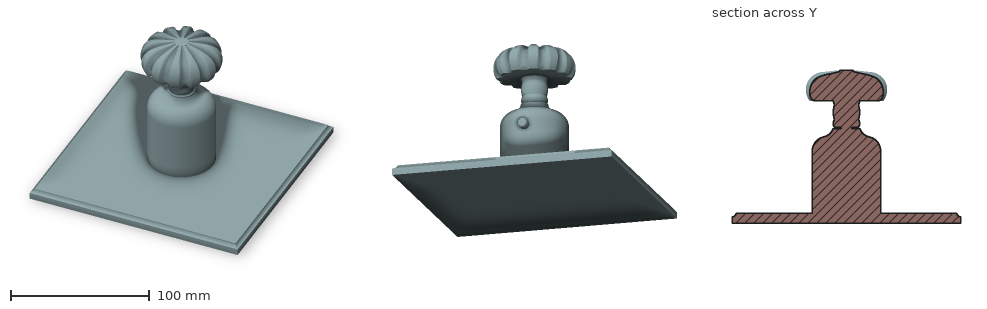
import cadquery as cq
import math

plate_side = 165.1
plate_height = 7.8
cove_radius = 2.8

body_radius = 25.0
dome_base_z = 52.0
dome_height = 10.5
flare_base_radius = 16.8
flare_height = 5.0
flare_sag = 1.0
collar_radius = 10.2
collar_height = 1.2

gap_height = 0.7
stem_radius = 4.1
neck_waist_radius = 8.9
neck_bulge_radius = 9.7
neck_bead_height = 5.6
neck_barrel_height = 10.4

knob_bottom_z = 88.5
knob_top_z = 110.6
knob_rim_radius = 29.7
knob_rim_z = 96.5
knob_arc_radius = 12.9
knob_flat_radius = 5.1
knob_shoulder_angle = 86.0
flute_count = 12
flute_edge_sink = 0.01211
flute_edge_lift = 0.2
flute_cover = 1.7

arc_flutes = [(-55.0, 4.3, 2.8), (0.0, 5.6, 3.1), (45.0, 5.0, 3.3)]
shoulder_flute = (4.0, 2.5)
crown_flute = (2.5, 1.7)
centre_flute = (1.0, 0.8)

pin_radius = 3.5
pin_z = 47.2
pin_tip_y = 31.7
pin_fillet = 1.3

flare_base_z = dome_base_z + dome_height
collar_base_z = flare_base_z + flare_height
collar_top_z = collar_base_z + collar_height
neck_base_z = collar_top_z + gap_height
bead_top_z = neck_base_z + neck_bead_height
barrel_top_z = bead_top_z + neck_barrel_height
knob_arc_x = knob_rim_radius - knob_arc_radius


def knob_point(angle):
    """Point (radius, z) on the round flank of the knob, at an angle in degrees above horizontal."""
    turn = math.radians(angle)
    return knob_arc_x + knob_arc_radius * math.cos(turn), knob_rim_z + knob_arc_radius * math.sin(turn)


def make_plate():
    plate = cq.Workplane("XY").box(plate_side, plate_side, plate_height, centered=(True, True, False))
    half_side = plate_side / 2
    bar_length = plate_side + 2 * cove_radius
    for turn in range(4):
        cove = (
            cq.Workplane("YZ", origin=(-bar_length / 2, 0, 0))
            .center(half_side, plate_height)
            .circle(cove_radius)
            .extrude(bar_length)
        )
        plate = plate.cut(cove.rotate((0, 0, 0), (0, 0, 1), 90 * turn))
    return plate


def make_body_and_neck():
    profile = (
        cq.Workplane("XZ")
        .lineTo(body_radius, 0)
        .lineTo(body_radius, dome_base_z)
        .tangentArcPoint((flare_base_radius, flare_base_z), relative=False)
        .sagittaArc((collar_radius, collar_base_z), flare_sag)
        .lineTo(collar_radius, collar_top_z)
        .lineTo(stem_radius, collar_top_z)
        .lineTo(stem_radius, neck_base_z)
        .lineTo(neck_waist_radius, neck_base_z)
        .threePointArc((neck_bulge_radius, (neck_base_z + bead_top_z) / 2), (neck_waist_radius, bead_top_z))
        .threePointArc((neck_bulge_radius, (bead_top_z + barrel_top_z) / 2), (neck_waist_radius, barrel_top_z))
        .lineTo(neck_bulge_radius, knob_bottom_z)
        .lineTo(0, knob_bottom_z)
        .close()
    )
    return profile.revolve(360, (0, 0, 0), (0, 1, 0))


def make_pin():
    pin = cq.Workplane("XZ", origin=(0, 0, pin_z)).circle(pin_radius).extrude(-pin_tip_y)
    return pin.faces(">Y").edges().fillet(pin_fillet)


def make_knob_blank():
    bottom_angle = math.degrees(math.asin((knob_bottom_z - knob_rim_z) / knob_arc_radius))
    profile = (
        cq.Workplane("XZ")
        .moveTo(0, knob_bottom_z)
        .lineTo(*knob_point(bottom_angle))
        .threePointArc(knob_point(0), knob_point(knob_shoulder_angle))
        .lineTo(knob_flat_radius, knob_top_z)
        .lineTo(0, knob_top_z)
        .close()
    )
    return profile.revolve(360, (0, 0, 0), (0, 1, 0))


def flute_section(place, normal_angle, half_width, depth):
    """Trough with a round floor and round shoulders, square to the knob surface."""
    turn = math.radians(normal_angle)
    along = (math.sin(turn), 0, -math.cos(turn))
    plane = cq.Plane(origin=(place[0], 0, place[1]), xDir=(0, 1, 0), normal=along)
    edge_y = flute_edge_lift - flute_edge_sink * half_width**2 * math.cos(turn)
    wall_height = depth + edge_y
    middle_y = edge_y - wall_height / 2
    arc_radius = (half_width**2 + wall_height**2) / (4 * wall_height)
    return (
        cq.Workplane(plane)
        .moveTo(-half_width, edge_y)
        .radiusArc((-half_width / 2, middle_y), arc_radius)
        .radiusArc((half_width / 2, middle_y), -arc_radius)
        .radiusArc((half_width, edge_y), arc_radius)
        .lineTo(half_width, flute_cover)
        .lineTo(-half_width, flute_cover)
        .close()
        .wire()
        .val()
    )


def make_flute():
    sections = [flute_section(knob_point(angle), angle, width, depth) for angle, width, depth in arc_flutes]
    shoulder = knob_point(knob_shoulder_angle)
    centre = (knob_flat_radius, knob_top_z)
    crown = ((shoulder[0] + centre[0]) / 2, (shoulder[1] + centre[1]) / 2)
    for place, (width, depth) in ((shoulder, shoulder_flute), (crown, crown_flute), (centre, centre_flute)):
        sections.append(flute_section(place, knob_shoulder_angle, width, depth))
    return cq.Workplane(cq.Solid.makeLoft(sections))


def make_knob():
    flute = make_flute()
    flutes = [flute.rotate((0, 0, 0), (0, 0, 1), turn * 360 / flute_count).val() for turn in range(flute_count)]
    return cq.Workplane(make_knob_blank().val().cut(*flutes))


result = make_plate().union(make_body_and_neck()).union(make_pin()).union(make_knob())